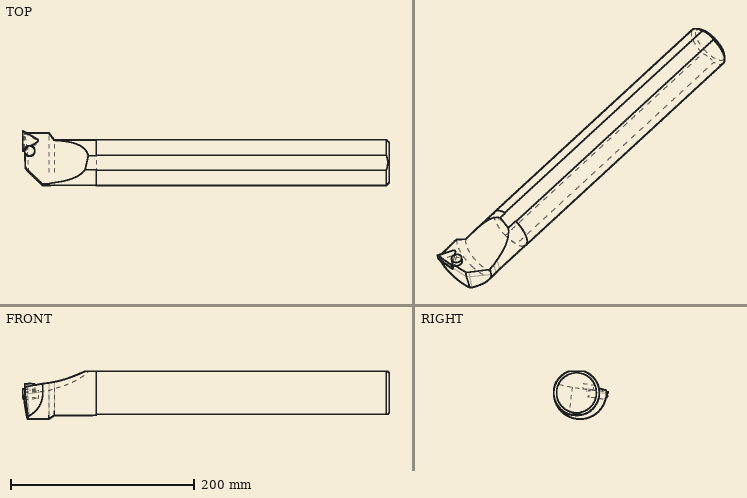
import cadquery as cq
import math

total_length = 400.0
shank_radius = 25.0
flat_height = 23.5
shank_start = 80.0
end_chamfer = 3.0

neck_radius = 24.8
neck_start = 34.5
head_radius = 28.8
head_offset_y = 3.8
head_cylinder_end = 28.5

roll_angle = 8.5
band_bottom = -2.2
relief_angle = 7.0
scoop_start = (-4.0, 5.0)
scoop_middle = (28.0, 7.4)
scoop_end = (70.0, 23.4)
scoop_start_tangent = (1.0, 0.04)
scoop_end_tangent = (1.0, 0.65)
clearance = 48.0

nose_x = 0.8
facet_start = (2.8, -5.5)
facet_end = (4.8, -8.5)
flank_slope = 0.97

insert_tip_y = 34.2
insert_top = 6.2
insert_side = 21.5
insert_corner_radius = 2.0
insert_relief_height = 1.0
insert_relief_depth = 2.5
insert_side_relief_depth = 0.6
notch_depth = 1.5
notch_height = 3.4
notch_half_width = 1.8
pin_radius = 5.5
pin_center = (7.5, 11.5)
pin_bottom = 4.0
pin_top = 11.0


def rolled(body):
    """Turn a body from the level frame into the rolled cutting-face frame."""
    return body.rotate((0, 0, 0), (1, 0, 0), -roll_angle)


def bar_section(x_start, x_end, radius):
    return cq.Workplane("YZ").workplane(offset=x_start).circle(radius).extrude(x_end - x_start)


def make_shank():
    bar = bar_section(shank_start, total_length, shank_radius).faces(">X").chamfer(end_chamfer)
    flats = cq.Workplane("XY").box(2 * total_length, 2 * clearance, 2 * flat_height)
    return bar.intersect(flats)


def make_neck():
    neck = bar_section(neck_start, shank_start, neck_radius)
    top_limit = cq.Workplane("XY").workplane(offset=flat_height).rect(
        2 * total_length, 2 * clearance
    ).extrude(-2 * clearance)
    return neck.intersect(top_limit)


def make_head_blank():
    cylinder = bar_section(0, head_cylinder_end, head_radius).translate((0, head_offset_y, 0))
    cone = (
        cq.Workplane("YZ").workplane(offset=head_cylinder_end)
        .center(head_offset_y, 0).circle(head_radius)
        .workplane(offset=neck_start - head_cylinder_end)
        .center(-head_offset_y, 0).circle(neck_radius)
        .loft(ruled=True)
    )
    return cylinder.union(cone)


def head_outline():
    """Front edges of the head, closed behind the neck."""
    flank_end_y = -clearance
    flank_end_x = facet_end[0] + (facet_end[1] - flank_end_y) / flank_slope
    return [
        (nose_x, clearance),
        facet_start,
        facet_end,
        (flank_end_x, flank_end_y),
        (2 * clearance, flank_end_y),
        (2 * clearance, clearance),
    ]


def make_front_limit():
    """Upright front band above, relieved front faces below."""
    band = (
        cq.Workplane("XY").workplane(offset=band_bottom)
        .polyline(head_outline()).close().extrude(clearance)
    )
    relief = (
        cq.Workplane("XY").workplane(offset=band_bottom)
        .polyline(head_outline()).close().extrude(-clearance, taper=relief_angle)
    )
    return rolled(band.union(relief))


def make_scoop():
    """Space above the cutting face, sweeping up through the neck."""
    runout = (
        scoop_end[0] + clearance * scoop_end_tangent[0],
        scoop_end[1] + clearance * scoop_end_tangent[1],
    )
    scoop = (
        cq.Workplane("XZ").moveTo(*scoop_start)
        .spline(
            [scoop_middle, scoop_end],
            tangents=[scoop_start_tangent, scoop_end_tangent],
            includeCurrent=True,
        )
        .lineTo(*runout)
        .lineTo(scoop_start[0], runout[1]).close()
        .extrude(2 * clearance)
        .translate((0, clearance, 0))
    )
    return rolled(scoop)


def make_insert():
    """Triangular plate with a notched and relieved cutting tip."""
    apex_x = insert_side * math.cos(math.radians(30))
    corners = [
        (0, insert_tip_y),
        (0, insert_tip_y - insert_side),
        (apex_x, insert_tip_y - insert_side / 2),
    ]
    plate = (
        cq.Workplane("XY").workplane(offset=band_bottom)
        .polyline(corners).close().extrude(insert_top - band_bottom)
        .edges("|Z and >X").fillet(insert_corner_radius)
    )
    notch = (
        cq.Workplane("YZ")
        .moveTo(insert_tip_y, notch_height + notch_half_width)
        .lineTo(insert_tip_y - notch_depth, notch_height)
        .lineTo(insert_tip_y, notch_height - notch_half_width)
        .close().extrude(insert_side)
    )
    tip_relief = (
        cq.Workplane("YZ")
        .moveTo(insert_tip_y, insert_relief_height)
        .lineTo(insert_tip_y - insert_relief_depth, band_bottom)
        .lineTo(insert_tip_y, band_bottom)
        .close().extrude(insert_side)
    )
    side_relief = (
        cq.Workplane("XZ")
        .moveTo(0, insert_relief_height)
        .lineTo(insert_side_relief_depth, band_bottom)
        .lineTo(0, band_bottom)
        .close().extrude(-insert_tip_y)
    )
    return rolled(plate.cut(notch).cut(tip_relief).cut(side_relief))


def make_pin():
    pin = cq.Workplane("XY").workplane(offset=pin_bottom).center(*pin_center).circle(pin_radius)
    return rolled(pin.extrude(pin_top - pin_bottom))


insert = make_insert()
head = make_head_blank().union(make_neck()).intersect(make_front_limit())
holder = head.union(make_shank()).cut(make_scoop()).union(make_pin()).cut(insert)

result = cq.Compound.makeCompound([holder.val(), insert.val()])